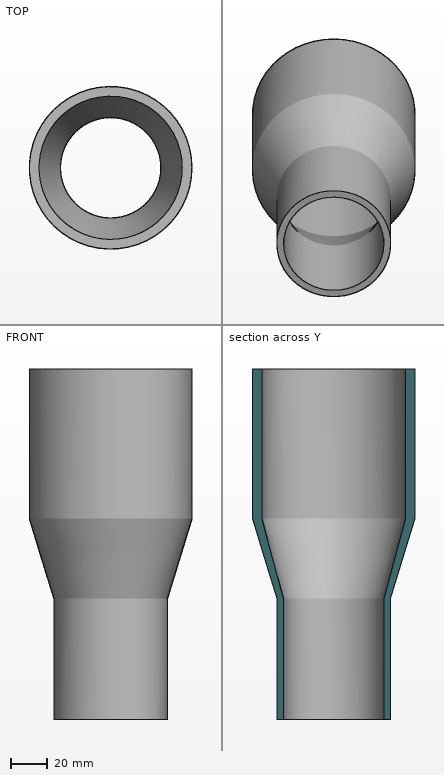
import cadquery as cq

large_diameter = 90.0
large_wall = 5.4
small_diameter = 63.0
small_wall = 3.8

small_length = 67.0
cone_length = 44.0
large_length = 83.0

cone_bottom = small_length
cone_top = cone_bottom + cone_length
total_length = cone_top + large_length


def reducer_body(small_radius, large_radius):
    """Solid of revolution: small cylinder, cone, large cylinder."""
    return (
        cq.Workplane("XZ")
        .moveTo(0, 0)
        .lineTo(small_radius, 0)
        .lineTo(small_radius, cone_bottom)
        .lineTo(large_radius, cone_top)
        .lineTo(large_radius, total_length)
        .lineTo(0, total_length)
        .close()
        .revolve(360, (0, 0, 0), (0, 1, 0))
    )


outside = reducer_body(small_diameter / 2, large_diameter / 2)
bore = reducer_body(small_diameter / 2 - small_wall, large_diameter / 2 - large_wall)

result = outside.cut(bore)